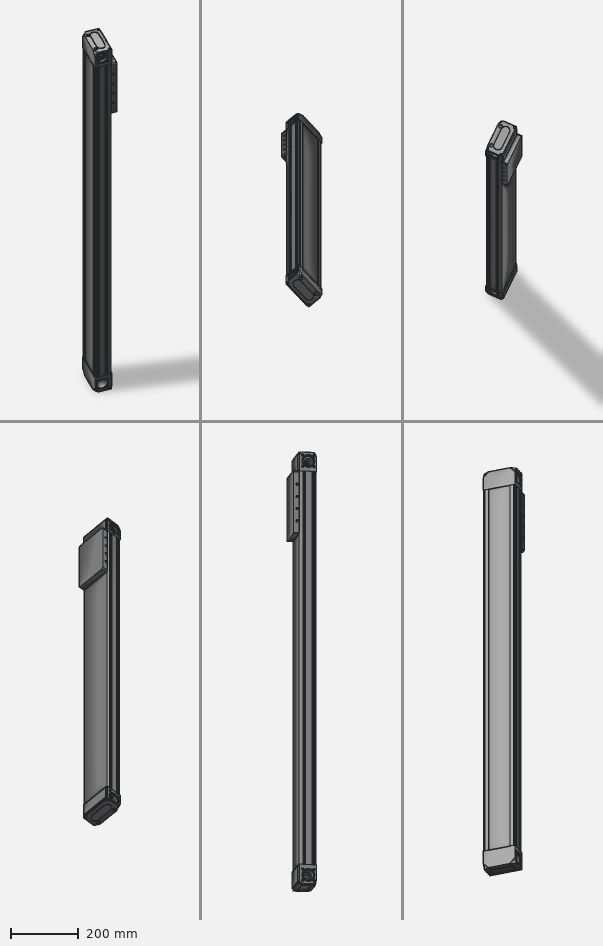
import cadquery as cq

LENGTH = 1311.0
WIDTH = 102.0
DEPTH = 70.0
HALF_WIDTH = WIDTH / 2
FRONT_Y = -DEPTH / 2
RAIL_BACK_Y = 17.0

COVER_THICKNESS = 3.0
COVER_WIDTH = 77.0
COVER_HEIGHT = 26.0
COVER_Y = -7.0
CAP_LENGTH = 58.0
CAP_END_Z = LENGTH / 2 - COVER_THICKNESS
CAP_INNER_Z = CAP_END_Z - CAP_LENGTH
CAP_DEPTH = RAIL_BACK_Y - FRONT_Y
CAP_MIDDLE_Y = (RAIL_BACK_Y + FRONT_Y) / 2
BEVEL_LEG = 17.0
BEVEL_DEPTH = 9.0
PAD_WIDTH = 95.0
PAD_LENGTH = 49.0
PAD_INSET = 3.0
PAD_HEIGHT = 4.0

BORE_Y = -10.0
BORE_Z = 627.0
RECESS_DIAMETER = 38.0
RECESS_DEPTH = 3.0
BORE_DIAMETER = 31.0
SHALLOW_BORE_DEPTH = 10.0
DEEP_BORE_DEPTH = 33.0
SEAT_DIAMETER = 20.0
SEAT_DEPTH = 4.0
SHAFT_HOLE_DIAMETER = 10.0
FLANGE_HOLE_DIAMETER = 6.0
FLANGE_HOLE_OFFSET = 17.0
FLANGE_HOLE_DEPTH = 10.0

FRONT_SCREW_DIAMETER = 10.2
FRONT_SCREW_X = 33.0
FRONT_SCREW_Y = -25.0
BACK_SCREW_DIAMETER = 6.0
BACK_SCREW_X = 46.0
BACK_SCREW_Y = 13.0
SCREW_HOLE_DEPTH = 4.0

REBATE_WIDTH = 5.0
REBATE_DEPTH = 4.0
PANEL_WIDTH = 68.0
PANEL_DEPTH = 3.0
BACK_SLOPE_X = 3.0
BACK_SLOPE_Y = 10.0
SLOT_Y = (2.0, -25.0)
SLOT_MOUTH = 8.0
SLOT_MOUTH_DEPTH = 3.0
SLOT_CORE = 4.0
SLOT_CORE_DEPTH = 7.0

CARRIAGE_TOP_Z = CAP_INNER_Z
CARRIAGE_LENGTH = 191.0
CARRIAGE_MIDDLE_Z = CARRIAGE_TOP_Z - CARRIAGE_LENGTH / 2
CARRIAGE_HEIGHT = DEPTH / 2 - RAIL_BACK_Y
CARRIAGE_CHAMFER = 4.0
CARRIAGE_HOLE_DIAMETER = 6.0
CARRIAGE_HOLE_COUNT = 4
CARRIAGE_HOLE_PITCH = 37.0
CARRIAGE_HOLE_Y = 24.0
CARRIAGE_HOLE_DEPTH = 8.0


def box(x_size, y_size, z_size, center):
    return cq.Workplane("XY").box(x_size, y_size, z_size).translate(center)


def side_hole(side, diameter, depth, y, z):
    """Round cutter entering from the -X side (side = -1) or the +X side (side = 1)."""
    mouth = cq.Vector(side * HALF_WIDTH, y, z)
    inward = cq.Vector(-side, 0, 0)
    return cq.Workplane(cq.Solid.makeCylinder(diameter / 2, depth, mouth, inward))


def make_rail():
    """Long extrusion with a sunk front panel, rebated front edges and two stepped slots in each side."""
    outline = [
        (0, FRONT_Y + PANEL_DEPTH),
        (PANEL_WIDTH / 2, FRONT_Y + PANEL_DEPTH),
        (PANEL_WIDTH / 2, FRONT_Y),
        (HALF_WIDTH - REBATE_WIDTH, FRONT_Y),
        (HALF_WIDTH - REBATE_WIDTH, FRONT_Y + REBATE_DEPTH),
        (HALF_WIDTH, FRONT_Y + REBATE_DEPTH),
        (HALF_WIDTH, RAIL_BACK_Y - BACK_SLOPE_Y),
        (HALF_WIDTH - BACK_SLOPE_X, RAIL_BACK_Y),
        (0, RAIL_BACK_Y),
    ]
    half = cq.Workplane("XY").polyline(outline).close().extrude(CAP_INNER_Z, both=True)
    rail = half.union(half.mirror("YZ")).clean()
    for side in (-1, 1):
        for y in SLOT_Y:
            for width, depth in ((SLOT_MOUTH, SLOT_MOUTH_DEPTH), (SLOT_CORE, SLOT_CORE_DEPTH)):
                center = (side * HALF_WIDTH, y, 0)
                rail = rail.cut(box(2 * depth, width, 2 * CAP_INNER_Z, center))
    return rail


def corner_bevel(side):
    """Tetrahedron that cuts the front outer corner of the upper cap."""
    corner = cq.Vector(side * HALF_WIDTH, FRONT_Y, CAP_END_Z)
    along_x = corner + cq.Vector(-side * BEVEL_LEG, 0, 0)
    along_y = corner + cq.Vector(0, BEVEL_DEPTH, 0)
    along_z = corner + cq.Vector(0, 0, -BEVEL_LEG)
    triangles = (
        (corner, along_x, along_y),
        (corner, along_y, along_z),
        (corner, along_z, along_x),
        (along_x, along_y, along_z),
    )
    faces = [cq.Face.makeFromWires(cq.Wire.makePolygon([*t, t[0]])) for t in triangles]
    return cq.Workplane(cq.Solid.makeSolid(cq.Shell.makeShell(faces)))


def end_screw_holes(diameter, x, y):
    """Pair of blind holes in the end of the upper cap."""
    plane = cq.Workplane("XY").workplane(offset=CAP_END_Z - SCREW_HOLE_DEPTH)
    return plane.pushPoints([(-x, y), (x, y)]).circle(diameter / 2).extrude(SCREW_HOLE_DEPTH)


def make_cap(bore_depth):
    """Upper end cap; its side bores are bore_depth deep."""
    cap = box(WIDTH, CAP_DEPTH, CAP_LENGTH, (0, CAP_MIDDLE_Y, CAP_END_Z - CAP_LENGTH / 2))
    for side in (-1, 1):
        cap = cap.cut(corner_bevel(side))

    pad_center = (0, RAIL_BACK_Y + PAD_HEIGHT / 2, CAP_INNER_Z + PAD_INSET + PAD_LENGTH / 2)
    cap = cap.union(box(PAD_WIDTH, PAD_HEIGHT, PAD_LENGTH, pad_center))

    steps = (
        (RECESS_DIAMETER, RECESS_DEPTH),
        (BORE_DIAMETER, bore_depth),
        (SEAT_DIAMETER, bore_depth + SEAT_DEPTH),
    )
    for side in (-1, 1):
        for diameter, depth in steps:
            cap = cap.cut(side_hole(side, diameter, depth, BORE_Y, BORE_Z))
        for dy in (-FLANGE_HOLE_OFFSET, FLANGE_HOLE_OFFSET):
            for dz in (-FLANGE_HOLE_OFFSET, FLANGE_HOLE_OFFSET):
                hole = side_hole(side, FLANGE_HOLE_DIAMETER, FLANGE_HOLE_DEPTH, BORE_Y + dy, BORE_Z + dz)
                cap = cap.cut(hole)

    cap = cap.cut(end_screw_holes(FRONT_SCREW_DIAMETER, FRONT_SCREW_X, FRONT_SCREW_Y))
    return cap.cut(end_screw_holes(BACK_SCREW_DIAMETER, BACK_SCREW_X, BACK_SCREW_Y))


def make_upper_cap():
    """Cap with shallow bores joined by a through hole for the shaft."""
    shaft_hole = side_hole(-1, SHAFT_HOLE_DIAMETER, WIDTH, BORE_Y, BORE_Z)
    return make_cap(SHALLOW_BORE_DEPTH).cut(shaft_hole)


def make_lower_cap():
    """Mirrored cap with deep, closed bores."""
    return make_cap(DEEP_BORE_DEPTH).mirror("XY")


def make_cover(end):
    """Round-ended plate on the outer face of the upper (end = 1) or lower (end = -1) cap."""
    cover = cq.Workplane("XY").slot2D(COVER_WIDTH, COVER_HEIGHT).extrude(end * COVER_THICKNESS)
    return cover.translate((0, COVER_Y, end * CAP_END_Z))


def make_carriage():
    """Plate on the back of the rail with chamfered corners and a row of holes in each side."""
    center = (0, RAIL_BACK_Y + CARRIAGE_HEIGHT / 2, CARRIAGE_MIDDLE_Z)
    carriage = box(WIDTH, CARRIAGE_HEIGHT, CARRIAGE_LENGTH, center)
    carriage = carriage.edges("|Y").chamfer(CARRIAGE_CHAMFER)

    first_z = CARRIAGE_MIDDLE_Z - CARRIAGE_HOLE_PITCH * (CARRIAGE_HOLE_COUNT - 1) / 2
    for side in (-1, 1):
        for index in range(CARRIAGE_HOLE_COUNT):
            z = first_z + index * CARRIAGE_HOLE_PITCH
            hole = side_hole(side, CARRIAGE_HOLE_DIAMETER, CARRIAGE_HOLE_DEPTH, CARRIAGE_HOLE_Y, z)
            carriage = carriage.cut(hole)
    return carriage


rail = make_rail()
upper_cap = make_upper_cap()
lower_cap = make_lower_cap()
carriage = make_carriage()
covers = [make_cover(end) for end in (1, -1)]

result = cq.Compound.makeCompound(
    [
        rail.val(),
        upper_cap.val(),
        lower_cap.val(),
        carriage.val(),
        *[cover.val() for cover in covers],
    ]
)